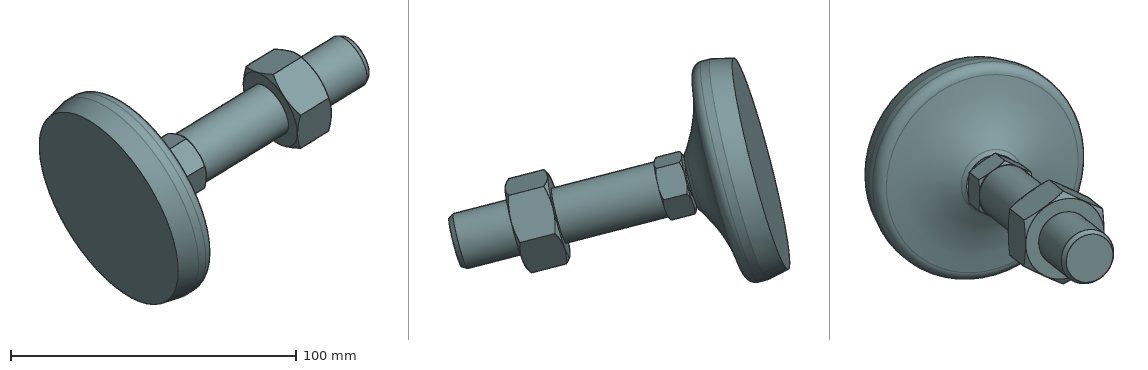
import cadquery as cq
import math

plate_radius = 80.0 / 2
sole_radius = 38.3
taper_height = 7.8
rim_top = 11.1
rim_round = 4.0
collar_round_radius = 11.8
collar_round_height = 23.9
collar_radius = 10.2
plate_top = 25.1

neck_radius = 10.0 / 2
stud_radius = 20.0 / 2
stud_end = 111.0
tip_chamfer_length = 1.9
tip_chamfer_depth = 1.1

wrench_flats = 2 * stud_radius
wrench_start = 26.1
wrench_height = 10.0
wrench_face_radius = 10.2
nut_flats = 30.0
nut_start = 73.4
nut_height = 15.5
nut_face_radius = 14.9
bevel_angle = math.radians(30)


def revolve_about_y(profile):
    return profile.close().revolve(360, (0, 0, 0), (0, 1, 0))


def foot_plate():
    """Tapered sole, straight rim, rounded shoulder and a concave flare up to the collar."""
    round_center = plate_radius - rim_round
    shoulder_end = math.radians(83)
    shoulder_mid = shoulder_end / 2

    def shoulder_point(angle):
        return (round_center + rim_round * math.cos(angle), rim_top + rim_round * math.sin(angle))

    return revolve_about_y(
        cq.Workplane("XY")
        .lineTo(sole_radius, 0)
        .lineTo(plate_radius, taper_height)
        .lineTo(plate_radius, rim_top)
        .threePointArc(shoulder_point(shoulder_mid), shoulder_point(shoulder_end))
        .tangentArcPoint((collar_round_radius, collar_round_height), relative=False)
        .tangentArcPoint((collar_radius, plate_top), relative=False)
        .lineTo(0, plate_top)
    )


def stud():
    """Thin neck rising from the plate into the plain stud with a chamfered tip."""
    return revolve_about_y(
        cq.Workplane("XY")
        .moveTo(0, rim_top)
        .lineTo(neck_radius, rim_top)
        .lineTo(neck_radius, wrench_start)
        .lineTo(stud_radius, wrench_start)
        .lineTo(stud_radius, stud_end - tip_chamfer_length)
        .lineTo(stud_radius - tip_chamfer_depth, stud_end)
        .lineTo(0, stud_end)
    )


def bevelled_hexagon(flats, start, height, face_radius):
    """Hexagonal prism along Y, flats facing +-X, with conical bevels on both ends."""
    corner_radius = flats / 2 / math.cos(math.pi / 6)
    bevel_height = (corner_radius - face_radius) * math.tan(bevel_angle)
    end = start + height
    prism = (
        cq.Workplane("XZ", origin=(0, start, 0))
        .transformed(rotate=(0, 0, 90))
        .polygon(6, 2 * corner_radius)
        .extrude(-height)
    )
    envelope = revolve_about_y(
        cq.Workplane("XY")
        .moveTo(0, start)
        .lineTo(face_radius, start)
        .lineTo(corner_radius, start + bevel_height)
        .lineTo(corner_radius, end - bevel_height)
        .lineTo(face_radius, end)
        .lineTo(0, end)
    )
    return prism.intersect(envelope)


wrench_hexagon = bevelled_hexagon(wrench_flats, wrench_start, wrench_height, wrench_face_radius)
nut = bevelled_hexagon(nut_flats, nut_start, nut_height, nut_face_radius)

result = foot_plate().union(stud()).union(wrench_hexagon).union(nut)